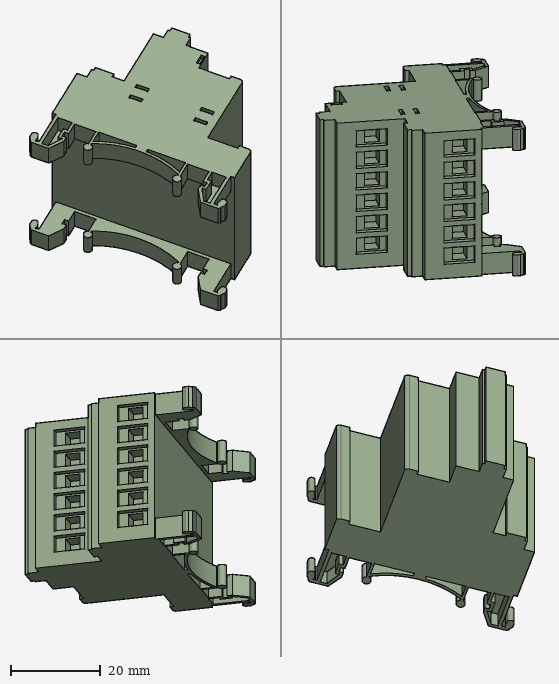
import cadquery as cq
import math

width = 34.7

lower_half = 22.5
upper_half = 12.05
housing_back_y = 0.65
tier_rise = 17.85
shoulder_y = 13.65
shoulder_run = 2.45
cap_foot_y = 16.1
cap_top_y = 17.0
cap_inset = 0.55
cap_length = 4.52
upper_deck_end = 1.45
ledge_y = 8.85
lip_y = 9.7
lip_length = 3.05
lip_round = 1.2
lip_round_run = 0.95

entry_rows = 6
entry_row_span = 25.35
first_entry_z = 5.3
entry_mid_y = 5.78
entry_length = 7.08
entry_height = 3.85
entry_depth = 1.5
clamp_mid_y = 5.45
clamp_length = 3.3
clamp_height = 3.0
clamp_depth = 3.85

slot_length = 3.05
slot_width = 0.85
slot_depth = 1.0
slot_columns = (-7.45, 8.5)
slot_rows = (12.55, 15.95)
edge_slot_length = 2.45
edge_slot_x = 0.7
edge_slot_y = 29.05

bracket_width = 5.0
bracket_lip = 0.15
web = 0.65
wall = 0.65
toe_wall_run = 0.45
foot_end_y = -9.15
foot_half = 21.55
foot_inner_x = 16.55
foot_toe_x = 18.7
foot_slope_y = -5.78
notch_top_y = -3.25
notch_bottom_y = -4.52
notch_depth = 1.0
foot_thick_wall = 0.8

hook_radius = 0.8
hook_mid_x = 23.25
hook_mid_y = -6.95
hook_side_end_y = -7.8
hook_throat_x = 22.25
groove_y = -8.3
groove_bevel_x = 21.95
groove_bevel_y = -8.15
hook_heel_x = 23.5
hook_heel_top_y = -8.5
hook_heel_end_y = -8.8
hook_base_x = 23.0

leg_outer_x = 11.3
leg_inner_x = 10.7
ball_radius = 1.0
ball_y = -5.0
arch_crown_y = -1.3
arch_end_y = -3.75
arch_pocket_inner_x = 1.4
arch_rise = arch_crown_y - arch_end_y
arch_radius = (leg_inner_x**2 + arch_rise**2) / (2 * arch_rise)
arch_mid_y = arch_crown_y - arch_radius


def arch_y(x, radius):
    """Height of an arc about the arch centre at the given X."""
    return arch_mid_y + math.sqrt(radius**2 - x**2)


def box_between(x_range, y_range, z_range):
    corner = (x_range[0], y_range[0], z_range[0])
    size = (x_range[1] - x_range[0], y_range[1] - y_range[0], z_range[1] - z_range[0])
    return cq.Workplane("XY").box(*size, centered=False).translate(corner)


def both_sides(half):
    """A shape together with its mirror image across X = 0."""
    return half.union(half.mirror("YZ"))


def rounded_lip(outline, half_width, rise):
    """Continue an outline over the ledge, up the lip and around its outer corner."""
    top_y = lip_y + rise
    drop = lip_round - math.sqrt(lip_round**2 - lip_round_run**2)
    mid_run = lip_round_run / 2
    mid_drop = lip_round - math.sqrt(lip_round**2 - mid_run**2)
    round_start = half_width - lip_round_run
    return (
        outline.lineTo(half_width - lip_length, ledge_y + rise)
        .lineTo(half_width - lip_length, top_y)
        .lineTo(round_start, top_y)
        .threePointArc((round_start + mid_run, top_y - mid_drop), (half_width, top_y - drop))
    )


def tier_steps(outline, half_width, rise):
    """Continue an outline up the -X wall of a tier and across the top of its cap."""
    riser_x = -half_width + shoulder_run
    cap_x = riser_x + cap_inset
    return (
        outline.lineTo(-half_width, shoulder_y + rise)
        .lineTo(riser_x, shoulder_y + rise)
        .lineTo(riser_x, cap_foot_y + rise)
        .lineTo(cap_x, cap_foot_y + rise)
        .lineTo(cap_x, cap_top_y + rise)
        .lineTo(cap_x + cap_length, cap_top_y + rise)
        .lineTo(cap_x + cap_length, cap_foot_y + rise)
    )


def housing():
    outline = cq.Workplane("XY").moveTo(-lower_half, housing_back_y)
    outline = tier_steps(outline, lower_half, 0)
    outline = outline.lineTo(-upper_half, cap_foot_y)
    outline = tier_steps(outline, upper_half, tier_rise)
    cap_end_x = -upper_half + shoulder_run + cap_length + 2 * cap_inset
    outline = (
        outline.lineTo(cap_end_x, cap_foot_y + tier_rise)
        .lineTo(cap_end_x, shoulder_y + tier_rise)
        .lineTo(upper_deck_end, shoulder_y + tier_rise)
        .lineTo(upper_deck_end, ledge_y + tier_rise)
    )
    outline = rounded_lip(outline, upper_half, tier_rise)
    outline = outline.lineTo(upper_half, ledge_y)
    outline = rounded_lip(outline, lower_half, 0)
    return outline.lineTo(lower_half, housing_back_y).close().extrude(width)


def wire_entries():
    """Rectangular entries, each with a smaller clamp opening in its floor."""
    cuts = cq.Workplane("XY")
    for half_width, rise in ((lower_half, 0), (upper_half, tier_rise)):
        for row in range(entry_rows):
            z = first_entry_z + row * entry_row_span / (entry_rows - 1)
            for mid_y, length, height, depth in (
                (entry_mid_y, entry_length, entry_height, entry_depth),
                (clamp_mid_y, clamp_length, clamp_height, entry_depth + clamp_depth),
            ):
                cuts = cuts.union(
                    box_between(
                        (-half_width, -half_width + depth),
                        (mid_y + rise - length / 2, mid_y + rise + length / 2),
                        (z - height / 2, z + height / 2),
                    )
                )
    return cuts


def side_slots():
    centres = [(x, y) for x in slot_columns for y in slot_rows]
    top = cq.Workplane("XY", origin=(0, 0, width))
    slots = top.pushPoints(centres).rect(slot_length, slot_width).extrude(-slot_depth)
    edge_slot = top.center(edge_slot_x, edge_slot_y).rect(slot_width, edge_slot_length).extrude(-slot_depth)
    return slots.union(edge_slot)


def foot():
    """The +X foot with its rail notch and release hook."""
    notch_x = foot_inner_x + notch_depth
    return (
        cq.Workplane("XY")
        .moveTo(foot_half, housing_back_y)
        .lineTo(foot_half, groove_bevel_y)
        .lineTo(groove_bevel_x, groove_y)
        .lineTo(hook_mid_x - hook_radius, groove_y)
        .lineTo(hook_throat_x, hook_side_end_y)
        .lineTo(hook_mid_x - hook_radius, hook_mid_y)
        .threePointArc((hook_mid_x, hook_mid_y + hook_radius), (hook_mid_x + hook_radius, hook_mid_y))
        .lineTo(hook_mid_x + hook_radius, hook_side_end_y)
        .lineTo(hook_heel_x, hook_heel_top_y)
        .lineTo(hook_heel_x, hook_heel_end_y)
        .lineTo(hook_base_x, foot_end_y)
        .lineTo(foot_toe_x, foot_end_y)
        .lineTo(foot_inner_x, foot_slope_y)
        .lineTo(foot_inner_x, notch_bottom_y)
        .lineTo(notch_x, notch_bottom_y)
        .lineTo(notch_x, notch_top_y)
        .lineTo(foot_inner_x, notch_top_y)
        .lineTo(foot_inner_x, housing_back_y)
        .close()
        .extrude(bracket_width)
    )


def foot_pocket():
    """Hollow of the +X foot, following its outline at a near-even wall thickness."""
    inner_x = foot_inner_x + wall
    notch_x = inner_x + notch_depth
    toe_x = foot_toe_x + toe_wall_run
    return (
        cq.Workplane("XY")
        .moveTo(foot_half - foot_thick_wall, 0)
        .lineTo(foot_half - foot_thick_wall, foot_end_y + wall)
        .lineTo(toe_x, foot_end_y + wall)
        .lineTo(inner_x, notch_bottom_y - wall)
        .lineTo(notch_x, notch_bottom_y - wall)
        .lineTo(notch_x, notch_top_y + foot_thick_wall)
        .lineTo(inner_x, notch_top_y + foot_thick_wall)
        .lineTo(inner_x, 0)
        .close()
        .extrude(bracket_width - web)
    )


def arched_rib():
    rib = (
        cq.Workplane("XY")
        .moveTo(-leg_outer_x, housing_back_y)
        .lineTo(-leg_outer_x, ball_y)
        .lineTo(-leg_inner_x, ball_y)
        .lineTo(-leg_inner_x, arch_end_y)
        .threePointArc((0, arch_crown_y), (leg_inner_x, arch_end_y))
        .lineTo(leg_inner_x, ball_y)
        .lineTo(leg_outer_x, ball_y)
        .lineTo(leg_outer_x, housing_back_y)
        .close()
        .extrude(bracket_width)
    )
    ball_x = (leg_outer_x + leg_inner_x) / 2
    balls = cq.Workplane("XY").pushPoints([(-ball_x, ball_y), (ball_x, ball_y)])
    return rib.union(balls.circle(ball_radius).extrude(bracket_width))


def arch_pocket():
    """Hollow above the +X half of the arch, leaving a wall of even thickness."""
    radius = arch_radius + wall
    middle_x = (leg_inner_x + arch_pocket_inner_x) / 2
    return (
        cq.Workplane("XY")
        .moveTo(arch_pocket_inner_x, 0)
        .lineTo(arch_pocket_inner_x, arch_y(arch_pocket_inner_x, radius))
        .threePointArc((middle_x, arch_y(middle_x, radius)), (leg_inner_x, arch_y(leg_inner_x, radius)))
        .lineTo(leg_inner_x, 0)
        .close()
        .extrude(bracket_width - web)
    )


def bracket():
    """The bracket on the Z = 0 edge, with its pockets open towards -Z."""
    plate = box_between((-foot_half, foot_half), (0, housing_back_y), (0, bracket_width))
    lip = box_between((-foot_inner_x, foot_inner_x), (-bracket_lip, 0), (0, bracket_width))
    solid = both_sides(foot()).union(arched_rib()).union(plate).union(lip)
    return solid.cut(both_sides(foot_pocket())).cut(both_sides(arch_pocket()))


lower_bracket = bracket()
upper_bracket = lower_bracket.mirror("XY").translate((0, 0, width))

result = housing().cut(wire_entries()).cut(side_slots())
result = result.union(lower_bracket).union(upper_bracket)